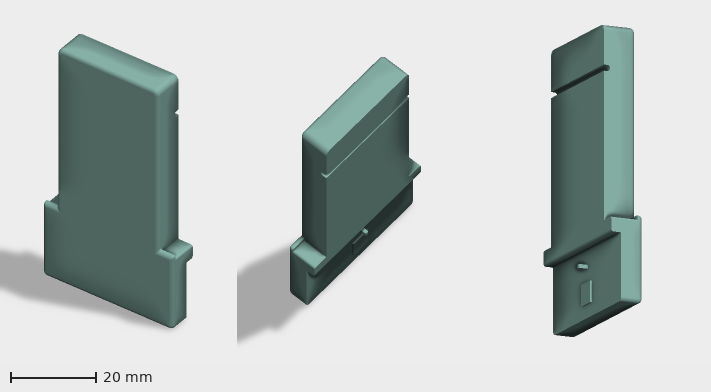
import cadquery as cq

height = 67.7
depth = 8.2
base_width = 37.7
stem_width = 29.4
lip_height = 21.2
lip_thickness = 1.35
shoulder_drop = 1.0
shoulder_height = lip_height - shoulder_drop

front_radius = 1.0
stem_top_radius = 1.5
base_bottom_radius = 0.95
shoulder_end_radius = 0.55
shoulder_root_radius = 0.3
lip_root_radius = 0.5

relief_top = 16.5
relief_depth = 2.5
relief_outer_radius = 0.6
relief_inner_radius = 0.3
relief_face = depth - relief_depth

slot_width = 1.5
slot_depth = 1.6
slot_height = 57.1

pin_size = 0.95
pin_tip_chamfer = 0.2
pin_length = 2.3
pin_height = 12.3
pad_size = 5.3
pad_thickness = 0.4
pad_bottom = 3.25


def block(width, y_front, y_back, z_bottom, z_top):
    """Box centred on X between the given Y and Z limits."""
    box = cq.Workplane("XY").box(width, y_back - y_front, z_top - z_bottom, centered=(True, False, False))
    return box.translate((0, y_front, z_bottom))


def corner_edges(half_width, z):
    """Select the left and right depthwise edges at a given height."""
    reach = 0.035
    selectors = []
    for x in (-half_width, half_width):
        low = (x - reach, 0, z - reach)
        high = (x + reach, depth, z + reach)
        selectors.append(cq.selectors.BoxSelector(low, high))
    return selectors[0] + selectors[1]


def plate(y_front, y_back, base_height, root_radius, round_front):
    """Base and stem outline as one slab, optionally with a rounded front rim."""
    slab = block(base_width, y_front, y_back, 0, base_height)
    slab = slab.union(block(stem_width, y_front, y_back, 0, height))
    slab = slab.edges(corner_edges(stem_width / 2, height)).fillet(stem_top_radius)
    slab = slab.edges(corner_edges(base_width / 2, 0)).fillet(base_bottom_radius)
    if round_front:
        slab = slab.faces("<Y").edges().fillet(front_radius)
    slab = slab.edges(corner_edges(base_width / 2, base_height)).fillet(shoulder_end_radius)
    return slab.edges(corner_edges(stem_width / 2, base_height)).fillet(root_radius)


def relief():
    """Cutter for the lower back, including its rounded outer and inner corners."""
    overrun = relief_outer_radius
    outline = (
        cq.Workplane("YZ")
        .moveTo(relief_face, -overrun)
        .lineTo(relief_face, relief_top - relief_inner_radius)
        .radiusArc((relief_face + relief_inner_radius, relief_top), relief_inner_radius)
        .lineTo(depth - relief_outer_radius, relief_top)
        .radiusArc((depth, relief_top + relief_outer_radius), -relief_outer_radius)
        .lineTo(depth + overrun, relief_top + relief_outer_radius)
        .lineTo(depth + overrun, -overrun)
        .close()
    )
    return outline.extrude(base_width / 2, both=True)


def slot():
    """Cutter for the slot: a straight mouth ending in a half round."""
    radius = slot_width / 2
    centre_y = depth - slot_depth + radius
    mouth = block(stem_width, centre_y, depth, slot_height - radius, slot_height + radius)
    end = cq.Workplane("YZ").center(centre_y, slot_height).circle(radius).extrude(stem_width / 2, both=True)
    return mouth.union(end)


def pin():
    """Square pin on the relieved face, its two upright tip edges chamfered."""
    half = pin_size / 2
    stock = block(pin_size, relief_face, relief_face + pin_length, pin_height - half, pin_height + half)
    return stock.faces(">Y").edges("|Z").chamfer(pin_tip_chamfer)


front_plate = plate(0, lip_thickness, lip_height, lip_root_radius, round_front=True)
back_plate = plate(lip_thickness, depth, shoulder_height, shoulder_root_radius, round_front=False)
pad = block(pad_size, relief_face, relief_face + pad_thickness, pad_bottom, pad_bottom + pad_size)

result = front_plate.union(back_plate).cut(relief()).cut(slot()).union(pin()).union(pad).clean()